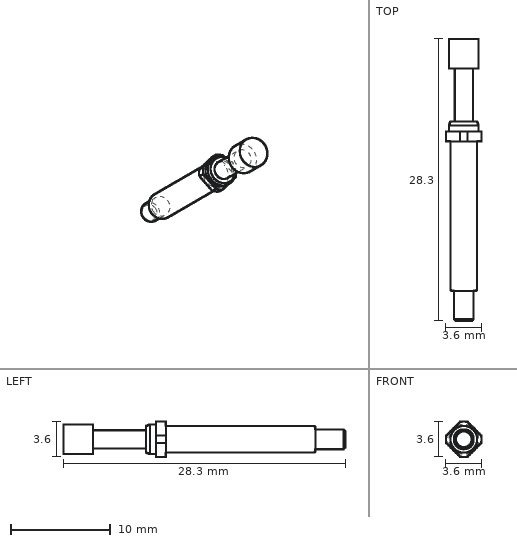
import cadquery as cq


head_diameter = 3.0
plunger_diameter = 1.85
neck_diameter = 3.0
neck_tip_diameter = 2.7
barrel_diameter = 2.7
tail_diameter = 2.0

collar_across_flats = 3.0
collar_across_corners = 3.6
collar_rotation = 45.0

head_length = 3.0
plunger_length = 5.3
neck_taper_length = 0.4
neck_straight_length = 0.6
collar_length = 1.0
barrel_length = 15.0
tail_length = 3.0

barrel_end_fillet = 0.2
tail_end_chamfer = 0.2

neck_start = collar_length
neck_taper_start = neck_start + neck_straight_length
plunger_start = neck_taper_start + neck_taper_length
head_start = plunger_start + plunger_length
barrel_end = -barrel_length
tail_end = barrel_end - tail_length


def section_at(y):
    """Workplane normal to the axis at station y, extruding toward +Y."""
    return cq.Workplane(cq.Plane(origin=(0, y, 0), xDir=(1, 0, 0), normal=(0, 1, 0)))


def cylinder(y_start, length, diameter):
    return section_at(y_start).circle(diameter / 2).extrude(length)


def cone(y_start, length, start_diameter, end_diameter):
    return (
        section_at(y_start)
        .circle(start_diameter / 2)
        .workplane(offset=length)
        .circle(end_diameter / 2)
        .loft(ruled=True)
    )


def make_collar():
    square = (
        section_at(0)
        .transformed(rotate=(0, 0, collar_rotation))
        .rect(collar_across_flats, collar_across_flats)
        .extrude(collar_length)
    )
    return square.intersect(cylinder(0, collar_length, collar_across_corners))


def make_neck():
    """Neck between collar and plunger, tapering toward the plunger."""
    straight = cylinder(neck_start, neck_straight_length, neck_diameter)
    taper = cone(neck_taper_start, neck_taper_length, neck_diameter, neck_tip_diameter)
    return straight.union(taper)


def make_barrel():
    barrel = cylinder(barrel_end, barrel_length, barrel_diameter)
    return barrel.faces("<Y").edges().fillet(barrel_end_fillet)


def make_tail():
    tail = cylinder(tail_end, tail_length, tail_diameter)
    return tail.faces("<Y").chamfer(tail_end_chamfer)


def make_plunger():
    return cylinder(plunger_start, plunger_length, plunger_diameter)


def make_head():
    return cylinder(head_start, head_length, head_diameter)


result = (
    make_collar()
    .union(make_neck())
    .union(make_plunger())
    .union(make_head())
    .union(make_barrel())
    .union(make_tail())
)